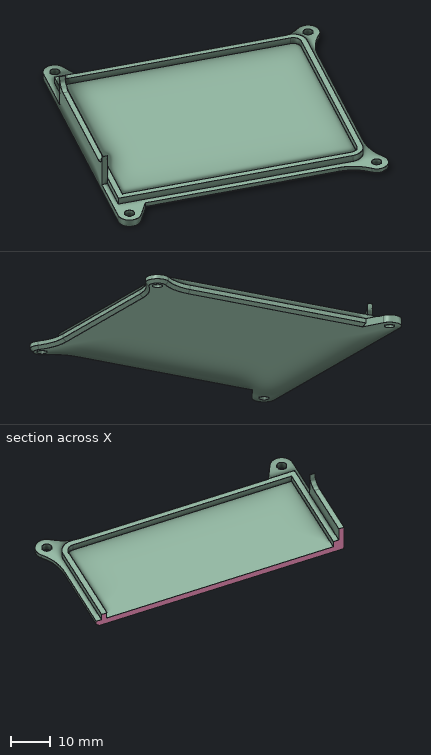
import cadquery as cq
import math

base_width = 57.0
base_length = 68.0
base_thickness = 2.0
underside_chamfer = 0.85

total_width = 69.0
total_length = 71.5
ear_radius = 3.0
hole_diameter = 2.5
front_hole_x = total_width / 2 - ear_radius
front_hole_y = ear_radius
rear_hole_x = 28.95
rear_hole_y = total_length - ear_radius
front_ear_root_y = 8.1
ear_blend_radius = 12.15

rim_inset = 1.5
rim_thickness = 1.5
rim_height = 1.8
pocket_corner_radius = 4.2 / 2

wall_width = 35.7
wall_thickness = rim_inset
wall_top_z = 10.6
wall_dip_radius = 2.9


def point_towards(start, end, distance):
    """Return the point at a given distance from start on the line to end."""
    ratio = distance / math.dist(start, end)
    return (start[0] + ratio * (end[0] - start[0]), start[1] + ratio * (end[1] - start[1]))


def point_at_angle(center, radius, angle):
    return (center[0] + radius * math.cos(angle), center[1] + radius * math.sin(angle))


def arc_middle(center, radius, start, end):
    """Return the middle of the shorter arc between two points of a circle."""
    chord_middle = ((start[0] + end[0]) / 2, (start[1] + end[1]) / 2)
    return point_towards(center, chord_middle, radius)


def half_plate():
    """Build the +X half of the base plate with its front and rear ears."""
    side_x = base_width / 2
    front_center = (front_hole_x, front_hole_y)
    rear_center = (rear_hole_x, rear_hole_y)

    root = (side_x, front_ear_root_y)
    root_distance = math.dist(front_center, root)
    root_angle = math.atan2(root[1] - front_center[1], root[0] - front_center[0])
    tangent_angle = root_angle - math.acos(ear_radius / root_distance)
    front_tangent = point_at_angle(front_center, ear_radius, tangent_angle)
    front_middle = point_at_angle(front_center, ear_radius, (tangent_angle - math.pi / 2) / 2)

    center_distance = ear_radius + ear_blend_radius
    side_center_x = side_x + ear_blend_radius
    side_drop = math.sqrt(center_distance**2 - (side_center_x - rear_hole_x) ** 2)
    side_center = (side_center_x, rear_hole_y - side_drop)
    rear_center_y = base_length + ear_blend_radius
    rear_shift = math.sqrt(center_distance**2 - (rear_center_y - rear_hole_y) ** 2)
    rear_blend_center = (rear_hole_x - rear_shift, rear_center_y)

    side_start = (side_x, side_center[1])
    side_end = point_towards(rear_center, side_center, ear_radius)
    rear_start = point_towards(rear_center, rear_blend_center, ear_radius)
    rear_end = (rear_blend_center[0], base_length)
    ear_tip = point_at_angle(rear_center, ear_radius, math.pi / 4)

    plate = (
        cq.Workplane("XY")
        .moveTo(0, 0)
        .lineTo(front_hole_x, 0)
        .threePointArc(front_middle, front_tangent)
        .lineTo(*root)
        .lineTo(*side_start)
        .threePointArc(arc_middle(side_center, ear_blend_radius, side_start, side_end), side_end)
        .threePointArc(ear_tip, rear_start)
        .threePointArc(arc_middle(rear_blend_center, ear_blend_radius, rear_start, rear_end), rear_end)
        .lineTo(0, base_length)
        .close()
        .extrude(base_thickness)
    )
    side_edge = cq.selectors.NearestToPointSelector((side_x, (root[1] + side_start[1]) / 2, 0))
    return plate.edges(side_edge).chamfer(underside_chamfer)


def rim():
    outer_width = base_width - 2 * rim_inset
    outer_length = base_length - 2 * rim_inset
    center_y = base_length / 2
    outer = (
        cq.Workplane("XY", origin=(0, center_y, base_thickness))
        .rect(outer_width, outer_length)
        .extrude(rim_height)
        .edges("|Z and >Y")
        .fillet(pocket_corner_radius + rim_thickness)
    )
    pocket = (
        cq.Workplane("XY", origin=(0, center_y, base_thickness))
        .rect(outer_width - 2 * rim_thickness, outer_length - 2 * rim_thickness)
        .extrude(rim_height)
        .edges("|Z and >Y")
        .fillet(pocket_corner_radius)
    )
    return outer.cut(pocket)


def front_wall():
    half_width = wall_width / 2
    dip_z = wall_top_z - wall_dip_radius
    flat_half_width = half_width - wall_dip_radius
    arc_offset = wall_dip_radius * math.sin(math.pi / 4)
    arc_x = flat_half_width + arc_offset
    arc_z = wall_top_z - arc_offset
    return (
        cq.Workplane("XZ")
        .moveTo(-half_width, 0)
        .lineTo(half_width, 0)
        .lineTo(half_width, wall_top_z)
        .threePointArc((arc_x, arc_z), (flat_half_width, dip_z))
        .lineTo(-flat_half_width, dip_z)
        .threePointArc((-arc_x, arc_z), (-half_width, wall_top_z))
        .close()
        .extrude(-wall_thickness)
    )


def mounting_holes():
    centers = []
    for side in (-1, 1):
        centers.append((side * front_hole_x, front_hole_y))
        centers.append((side * rear_hole_x, rear_hole_y))
    return cq.Workplane("XY").pushPoints(centers).circle(hole_diameter / 2).extrude(base_thickness)


right_half = half_plate()
base = right_half.union(right_half.mirror("YZ"))
result = base.union(rim()).union(front_wall()).cut(mounting_holes()).clean()